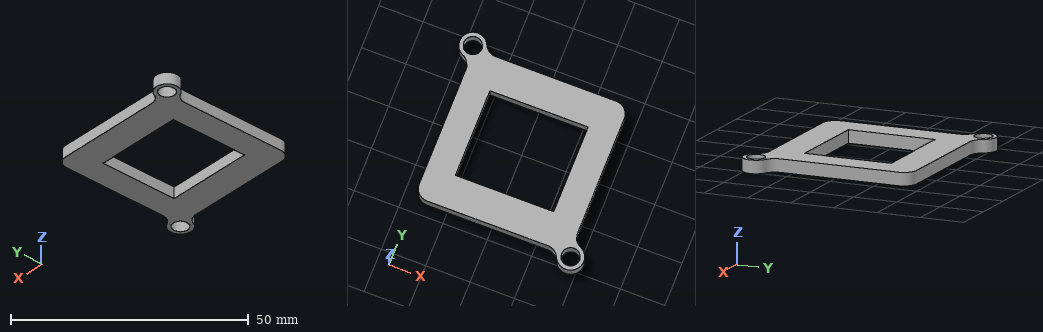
import cadquery as cq
import math

overall = 42.0
thickness = 3.0

plate_side = 35.0
corner_radius = 3.0
window_x = 22.1
window_y = 20.0

ear_radius = 3.0
hole_diameter = 4.0
blend_radius = 3.0
ear_offset = overall / 2 - ear_radius
ear_centers = [(-ear_offset, ear_offset), (ear_offset, -ear_offset)]

plate = (
    cq.Workplane("XY")
    .rect(plate_side, plate_side)
    .extrude(thickness)
    .edges("(<(1,1,0)) or (>(1,1,0))")
    .fillet(corner_radius)
)

ears = cq.Workplane("XY").pushPoints(ear_centers).circle(ear_radius).extrude(thickness)
body = plate.union(ears)

half_side = plate_side / 2
crossing = ear_offset - math.sqrt(ear_radius**2 - (ear_offset - half_side) ** 2)
mid_height = thickness / 2
for sign in (-1, 1):
    for x, y in [(crossing, -half_side), (half_side, -crossing)]:
        crossing_point = (sign * x, sign * y, mid_height)
        body = body.edges(cq.NearestToPointSelector(crossing_point)).fillet(blend_radius)

window = cq.Workplane("XY").rect(window_x, window_y).extrude(thickness)
holes = cq.Workplane("XY").pushPoints(ear_centers).circle(hole_diameter / 2).extrude(thickness)

result = body.cut(window).cut(holes)